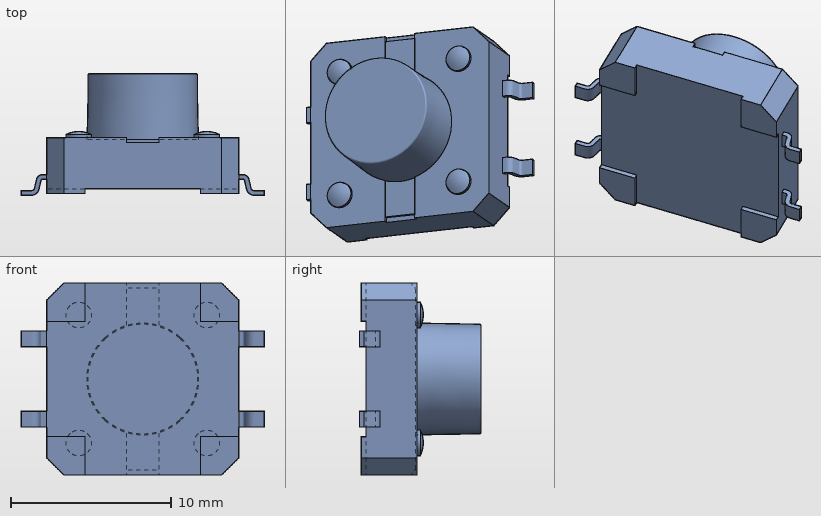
import cadquery as cq
import math


housing_width = 12.0
corner_chamfer = 1.07
housing_bottom = 0.1
housing_top = 3.6
foot_width = 2.4
foot_height = 0.3

notch_width = 2.0
notch_depth = 0.3
notch_length = 0.3
shelf_depth = 0.1

button_base_radius = 3.5
button_draft = 1.0
button_top = 7.6
button_edge_radius = 0.1
button_base = housing_top - shelf_depth

stud_radius = 0.8
stud_side_height = 0.2
stud_dome_height = 0.2
stud_offset = 4.0

lead_width = 1.0
lead_thickness = 0.3
lead_tip = 7.6
lead_upper_level = 1.3 - lead_thickness / 2
lead_lower_level = lead_thickness / 2
lead_slant = 13.0
lead_middle = 6.57
lead_upper_bend_radius = 0.25
lead_lower_bend_radius = 0.35
lead_offset = 2.5


def slab(width_x, width_z, bottom, top):
    """Box centred on the Y axis that spans bottom to top in Y."""
    return cq.Workplane("XY").box(width_x, top - bottom, width_z).translate((0, (bottom + top) / 2, 0))


def make_stud():
    """Short cylinder with a spherical cap, standing on the housing about the Y axis."""
    rim = housing_top + stud_side_height
    crown = rim + stud_dome_height
    sphere_radius = (stud_radius**2 + stud_dome_height**2) / (2 * stud_dome_height)
    return (
        cq.Workplane("ZY")
        .moveTo(0, housing_top)
        .lineTo(stud_radius, housing_top)
        .lineTo(stud_radius, rim)
        .radiusArc((0, crown), -sphere_radius)
        .close()
        .revolve(360, (0, 0, 0), (0, 1, 0))
    )


def make_housing():
    body = slab(housing_width, housing_width, housing_bottom, housing_top)
    body = body.edges("|Y").chamfer(corner_chamfer)

    recess_width = housing_width - 2 * foot_width
    recess_top = housing_bottom + foot_height
    body = body.cut(slab(recess_width, housing_width, housing_bottom, recess_top))
    body = body.cut(slab(housing_width, recess_width, housing_bottom, recess_top))

    body = body.cut(slab(notch_width, housing_width, button_base, housing_top))
    notch = slab(notch_width, notch_length, housing_top - notch_depth, housing_top)
    for side in (-1, 1):
        body = body.cut(notch.translate((0, 0, side * (housing_width - notch_length) / 2)))

    stud = make_stud()
    for side_x in (-1, 1):
        for side_z in (-1, 1):
            body = body.union(stud.translate((side_x * stud_offset, 0, side_z * stud_offset)))
    return body


def make_button():
    """Slightly tapered round button with a rounded top edge."""
    height = button_top - button_base
    top_radius = button_base_radius - height * math.tan(math.radians(button_draft))
    return (
        cq.Workplane("ZY")
        .moveTo(0, button_base)
        .lineTo(button_base_radius, button_base)
        .lineTo(top_radius, button_top)
        .lineTo(0, button_top)
        .close()
        .revolve(360, (0, 0, 0), (0, 1, 0))
        .faces(">Y")
        .edges()
        .fillet(button_edge_radius)
    )


def make_lead():
    """Strip on the +X side that leaves the housing, slants down and ends in a flat foot."""
    slant = math.radians(lead_slant)
    rise = lead_upper_level - lead_lower_level
    half_run = rise / 2 * math.tan(slant)
    upper_corner = lead_middle - half_run
    lower_corner = lead_middle + half_run

    reach_ratio = math.tan((math.pi / 2 - slant) / 2)
    upper_reach = lead_upper_bend_radius * reach_ratio
    lower_reach = lead_lower_bend_radius * reach_ratio
    slant_start = (
        upper_corner + upper_reach * math.sin(slant),
        lead_upper_level - upper_reach * math.cos(slant),
    )
    slant_end = (
        lower_corner - lower_reach * math.sin(slant),
        lead_lower_level + lower_reach * math.cos(slant),
    )

    centreline = (
        cq.Workplane("XY")
        .moveTo(housing_width / 2, lead_upper_level)
        .lineTo(upper_corner - upper_reach, lead_upper_level)
        .radiusArc(slant_start, lead_upper_bend_radius)
        .lineTo(*slant_end)
        .radiusArc((lower_corner + lower_reach, lead_lower_level), -lead_lower_bend_radius)
        .lineTo(lead_tip, lead_lower_level)
    )
    section = cq.Workplane("YZ", origin=(housing_width / 2, lead_upper_level, 0))
    return section.rect(lead_thickness, lead_width).sweep(centreline)


def make_leads():
    right_lead = make_lead()
    left_lead = right_lead.mirror("YZ")
    leads = []
    for lead in (left_lead, right_lead):
        for side in (-1, 1):
            leads.append(lead.translate((0, 0, side * lead_offset)).val())
    return leads


button = make_button()
housing = make_housing().cut(button)
leads = make_leads()

result = cq.Compound.makeCompound([housing.val(), button.val(), *leads])